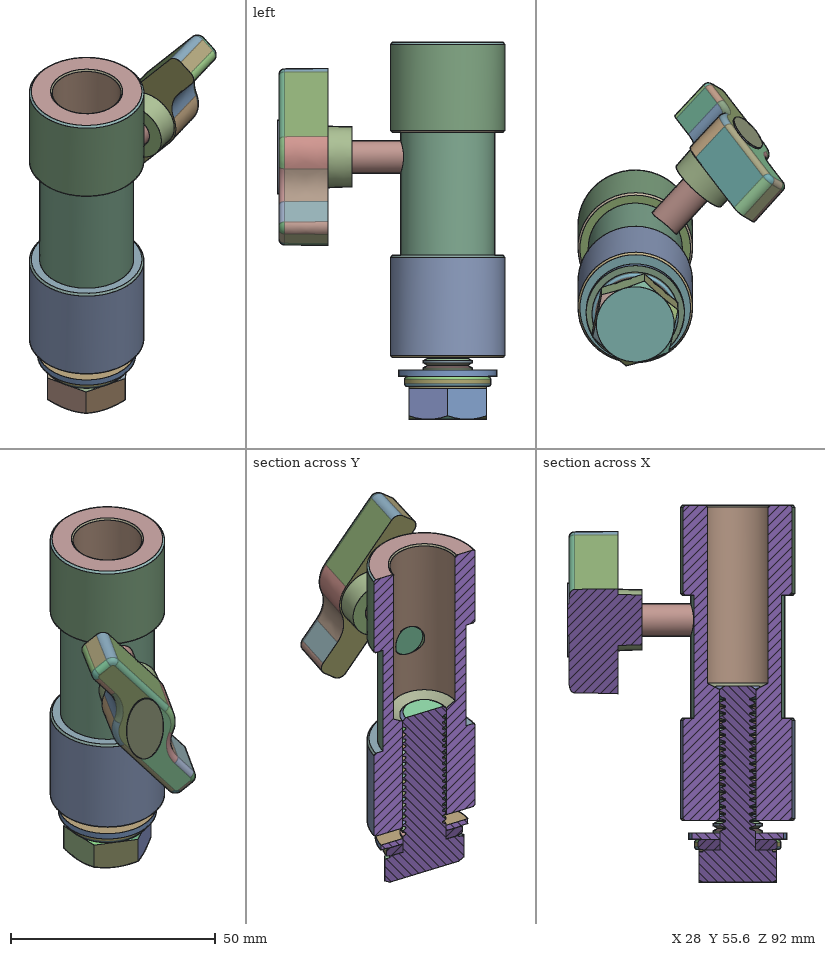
import cadquery as cq
import math

BOLT_D = 12.0
THREAD_PITCH = 1.75
THREAD_DEPTH = 0.9
CREST_WIDTH = 0.5
ROOT_WIDTH = 0.25
TIP_CHAMFER = 0.8
SHANK_LENGTH = 40.0
HEX_ACROSS_FLATS = 19.0
HEX_HEIGHT = 7.5
HEX_CHAMFER_ANGLE = 30.0
FACE_D = HEX_ACROSS_FLATS
FACE_HEIGHT = 0.45
HEAD_HEIGHT = HEX_HEIGHT + FACE_HEIGHT
BOLT_TIP_Z = HEAD_HEIGHT + SHANK_LENGTH

LOCK_WASHER_D = 21.1
LOCK_WASHER_THICKNESS = 2.5
LOCK_WASHER_FILLET = 0.75
FLAT_WASHER_D = 24.0
FLAT_WASHER_THICKNESS = 1.6
FLAT_WASHER_Z = HEAD_HEIGHT + LOCK_WASHER_THICKNESS

COLLAR_D = 28.0
TUBE_D = 23.0
LOWER_COLLAR_HEIGHT = 25.0
TUBE_HEIGHT = 30.0
UPPER_COLLAR_HEIGHT = 22.0
COLLAR_CHAMFER = 0.5
TOTAL_HEIGHT = 92.05
HOUSING_HEIGHT = LOWER_COLLAR_HEIGHT + TUBE_HEIGHT + UPPER_COLLAR_HEIGHT
HOUSING_Z = TOTAL_HEIGHT - HOUSING_HEIGHT
TUBE_Z = HOUSING_Z + LOWER_COLLAR_HEIGHT
UPPER_COLLAR_Z = TUBE_Z + TUBE_HEIGHT
BORE_D = 16.8
BORE_CHAMFER = 0.4
DRILL_POINT_ANGLE = 118.0
FLOOR_LOW_Z = BOLT_TIP_Z - TIP_CHAMFER
FLOOR_HIGH_Z = FLOOR_LOW_Z + (BORE_D - BOLT_D) / 2 / math.tan(math.radians(DRILL_POINT_ANGLE / 2))

STUD_D = 8.0
STUD_BELOW_COLLAR = 6.0
STUD_Z = UPPER_COLLAR_Z - STUD_BELOW_COLLAR
STUD_END_Y = BORE_D / 2
HUB_END_Y = 23.3
HUB_LENGTH = 5.9
HUB_BASE_D = 15.1
HUB_DRAFT = 1.5
GRIP_Y = HUB_END_Y + HUB_LENGTH
GRIP_THICKNESS = 12.0
GRIP_DRAFT = 0.5
GRIP_BACK_FILLET = 1.4
GRIP_TILT = 38.5
GRIP_CENTRE_R = 8.0
WING_FILLET_R = 8.0
WING_REACH = 22.4
WING_CORNER_R = 2.2
BADGE_LENGTH = 18.0
BADGE_WIDTH = 9.2
BADGE_HEIGHT = 0.35


def cylinder(diameter, z, height):
    """Vertical cylinder on the Z axis, starting at height z."""
    return cq.Workplane("XY").workplane(offset=z).circle(diameter / 2).extrude(height)


def y_cylinder(diameter, start_y, end_y):
    """Cylinder along +Y on the axis of the wing screw."""
    plane = cq.Plane(origin=(0, start_y, STUD_Z), xDir=(1, 0, 0), normal=(0, 1, 0))
    return cq.Workplane(plane).circle(diameter / 2).extrude(end_y - start_y)


def make_housing():
    lower = cylinder(COLLAR_D, HOUSING_Z, LOWER_COLLAR_HEIGHT).edges().chamfer(COLLAR_CHAMFER)
    upper = cylinder(COLLAR_D, UPPER_COLLAR_Z, UPPER_COLLAR_HEIGHT).edges().chamfer(COLLAR_CHAMFER)
    body = lower.union(cylinder(TUBE_D, TUBE_Z, TUBE_HEIGHT)).union(upper)

    cavity = (
        cq.Workplane("XZ")
        .moveTo(0, HOUSING_Z)
        .lineTo(BOLT_D / 2, HOUSING_Z)
        .lineTo(BOLT_D / 2, FLOOR_LOW_Z)
        .lineTo(BORE_D / 2, FLOOR_HIGH_Z)
        .lineTo(BORE_D / 2, TOTAL_HEIGHT - BORE_CHAMFER)
        .lineTo(BORE_D / 2 + BORE_CHAMFER, TOTAL_HEIGHT)
        .lineTo(0, TOTAL_HEIGHT)
        .close()
        .revolve(360, (0, 0, 0), (0, 1, 0))
    )
    stud_hole = y_cylinder(STUD_D, 0, COLLAR_D / 2)
    return body.cut(cavity).cut(stud_hole)


def make_hex_head():
    corner_d = HEX_ACROSS_FLATS / math.cos(math.pi / 6)
    prism = cq.Workplane("XY").polygon(6, corner_d).extrude(HEX_HEIGHT)

    flat_r = HEX_ACROSS_FLATS / 2
    flare = HEX_HEIGHT / math.tan(math.radians(HEX_CHAMFER_ANGLE))
    cone = (
        cq.Workplane("XZ")
        .lineTo(flat_r, 0)
        .lineTo(flat_r + flare, HEX_HEIGHT)
        .lineTo(0, HEX_HEIGHT)
        .close()
        .revolve(360, (0, 0, 0), (0, 1, 0))
    )
    return prism.intersect(cone).union(cylinder(FACE_D, HEX_HEIGHT, FACE_HEIGHT))


def make_threaded_shank():
    """Shank with ring grooves standing in for the thread."""
    crest_r = BOLT_D / 2
    root_r = crest_r - THREAD_DEPTH
    flank = (THREAD_PITCH - CREST_WIDTH - ROOT_WIDTH) / 2
    groove_start = FLAT_WASHER_Z + FLAT_WASHER_THICKNESS + CREST_WIDTH
    thread_end = BOLT_TIP_Z - TIP_CHAMFER
    groove_count = int((thread_end - groove_start) / THREAD_PITCH)

    profile = cq.Workplane("XZ").moveTo(0, HEX_HEIGHT).lineTo(crest_r, HEX_HEIGHT)
    for i in range(groove_count):
        z = groove_start + i * THREAD_PITCH
        profile = (
            profile.lineTo(crest_r, z)
            .lineTo(root_r, z + flank)
            .lineTo(root_r, z + flank + ROOT_WIDTH)
            .lineTo(crest_r, z + 2 * flank + ROOT_WIDTH)
        )
    return (
        profile.lineTo(crest_r, thread_end)
        .lineTo(crest_r - TIP_CHAMFER, BOLT_TIP_Z)
        .lineTo(0, BOLT_TIP_Z)
        .close()
        .revolve(360, (0, 0, 0), (0, 1, 0))
    )


def make_bolt():
    return make_hex_head().union(make_threaded_shank())


def make_lock_washer():
    disc = cylinder(LOCK_WASHER_D, HEAD_HEIGHT, LOCK_WASHER_THICKNESS).edges().fillet(LOCK_WASHER_FILLET)
    return disc.cut(cylinder(BOLT_D, HEAD_HEIGHT, LOCK_WASHER_THICKNESS))


def make_flat_washer():
    disc = cylinder(FLAT_WASHER_D, FLAT_WASHER_Z, FLAT_WASHER_THICKNESS)
    return disc.cut(cylinder(BOLT_D, FLAT_WASHER_Z, FLAT_WASHER_THICKNESS))


def make_grip():
    """Two wings, point-symmetric about the stud axis.

    Local x runs along the wings. Each wing has an outer flank tangent to the
    central circle and an inner flank on the line through the centre, blended
    back into the circle by a concave fillet.
    """
    tilt = math.radians(GRIP_TILT)
    plane = cq.Plane(
        origin=(0, GRIP_Y, STUD_Z),
        xDir=(math.sin(tilt), 0, math.cos(tilt)),
        normal=(0, 1, 0),
    )
    r = GRIP_CENTRE_R
    corner = WING_CORNER_R
    corner_mid = corner * (1 - math.sqrt(0.5))

    fillet_x = math.sqrt((r + WING_FILLET_R) ** 2 - WING_FILLET_R ** 2)
    fillet_angle = math.atan2(WING_FILLET_R, fillet_x)
    blend = (r * math.cos(fillet_angle), r * math.sin(fillet_angle))
    mid_angle = -(math.pi / 2 + (math.pi - fillet_angle)) / 2
    fillet_mid = (
        fillet_x + WING_FILLET_R * math.cos(mid_angle),
        WING_FILLET_R + WING_FILLET_R * math.sin(mid_angle),
    )
    circle_mid_angle = (fillet_angle + math.pi / 2) / 2
    circle_mid = (r * math.cos(circle_mid_angle), r * math.sin(circle_mid_angle))

    outline = cq.Workplane(plane).moveTo(0, -r)
    for side in (1, -1):
        tip = side * WING_REACH
        corner_start = side * (WING_REACH - corner)
        corner_x = side * (WING_REACH - corner_mid)
        outline = (
            outline.lineTo(corner_start, side * -r)
            .threePointArc((corner_x, side * (corner_mid - r)), (tip, side * (corner - r)))
            .lineTo(tip, side * -corner)
            .threePointArc((corner_x, side * -corner_mid), (corner_start, 0))
            .lineTo(side * fillet_x, 0)
            .threePointArc((side * fillet_mid[0], side * fillet_mid[1]), (side * blend[0], side * blend[1]))
            .threePointArc((side * circle_mid[0], side * circle_mid[1]), (0, side * r))
        )
    grip = outline.close().extrude(GRIP_THICKNESS, taper=GRIP_DRAFT)
    return grip.faces(">Y").edges().fillet(GRIP_BACK_FILLET)


def make_wing_screw():
    stud = y_cylinder(STUD_D, STUD_END_Y, GRIP_Y)

    hub_plane = cq.Plane(origin=(0, GRIP_Y, STUD_Z), xDir=(1, 0, 0), normal=(0, -1, 0))
    hub = cq.Workplane(hub_plane).circle(HUB_BASE_D / 2).extrude(HUB_LENGTH, taper=HUB_DRAFT)

    badge_plane = cq.Plane(origin=(0, GRIP_Y, STUD_Z), xDir=(0, 0, 1), normal=(0, 1, 0))
    badge = (
        cq.Workplane(badge_plane)
        .ellipse(BADGE_LENGTH / 2, BADGE_WIDTH / 2)
        .extrude(GRIP_THICKNESS + BADGE_HEIGHT)
    )
    return make_grip().union(hub).union(stud).union(badge)


housing = make_housing()
bolt = make_bolt()
lock_washer = make_lock_washer()
flat_washer = make_flat_washer()
wing_screw = make_wing_screw()

result = cq.Compound.makeCompound(
    [housing.val(), bolt.val(), lock_washer.val(), flat_washer.val(), wing_screw.val()]
)